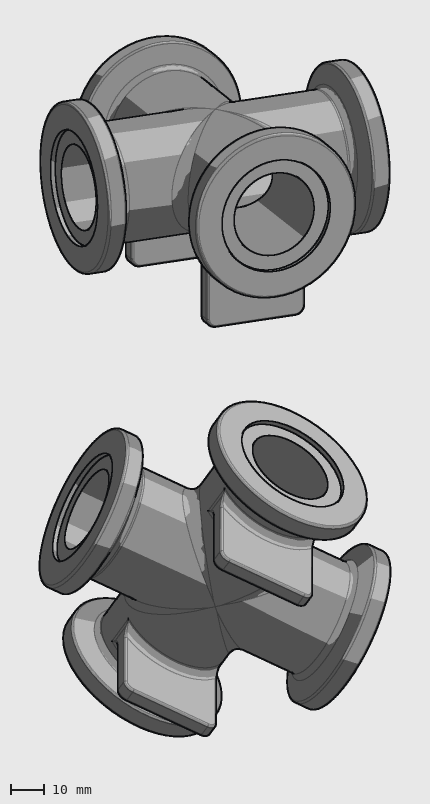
import cadquery as cq
import math

span = 91.19
flange_dia = 51.82
tube_dia = 36.58
bore_dia = 25.91
recess_dia = 35.05
recess_depth = 1.52
rim_thickness = 5.73
cone_angle = 20.0
edge_radius = 0.76
neck_radius = 2.03
crotch_radius = 3.86
crotch_sink = 0.004

foot_bottom = -38.61
foot_center_x = 28.2
foot_thickness = 4.78
foot_width = 31.75
foot_corner_radius = 3.05
foot_root_radius = 2.54

half_span = span / 2
flange_radius = flange_dia / 2
tube_radius = tube_dia / 2
cone_length = (flange_radius - tube_radius) * math.tan(math.radians(cone_angle))
rim_back = half_span - rim_thickness
cone_end = rim_back - cone_length
flange_root = cone_end - neck_radius
arm_angles = (0, 90, 180, 270)


def around_axis(part, shape):
    """Add a shape to the part at all four arm positions about Z."""
    for angle in arm_angles:
        part = part.union(shape.rotate((0, 0, 0), (0, 0, 1), angle))
    return part


def circles_between(x_min, x_max):
    """Selector for edges lying wholly within a range of X."""
    return cq.selectors.BoxSelector(
        (x_min, -span, -span), (x_max, span, span), boundingbox=True
    )


def make_flange():
    """Solid flange at the +X end, with a tapered back and rounded edges."""
    profile = (
        cq.Workplane("XY")
        .moveTo(flange_root, 0)
        .lineTo(flange_root, tube_radius)
        .lineTo(cone_end, tube_radius)
        .lineTo(rim_back, flange_radius)
        .lineTo(half_span, flange_radius)
        .lineTo(half_span, 0)
        .close()
    )
    flange = profile.revolve(360, (0, 0, 0), (1, 0, 0))
    neck = circles_between(cone_end - edge_radius, cone_end + edge_radius)
    flange = flange.edges("%CIRCLE").edges(neck).fillet(neck_radius)
    rim = circles_between(rim_back - edge_radius, half_span + edge_radius)
    return flange.edges("%CIRCLE").edges(rim).fillet(edge_radius)


def make_crotch_blend():
    """Rolling-ball blend in the corner between the +X and +Y tubes.

    The ball centre follows an ellipse in the plane x = y. It touches each tube
    along a curve that looks straight from above, so a wedge bounds the blend.
    """
    reach = tube_radius + crotch_radius
    ellipse_long = reach * math.sqrt(2)
    corner_plane = cq.Plane(origin=(0, 0, 0), xDir=(1, 1, 0), normal=(1, -1, 0))
    ball_path = cq.Workplane(corner_plane).ellipse(ellipse_long, reach)
    ball_start = cq.Plane(origin=(reach, reach, 0), xDir=(1, 1, 0), normal=(0, 0, 1))
    ball_radius = crotch_radius + crotch_sink
    ball_sweep = cq.Workplane(ball_start).circle(ball_radius).sweep(ball_path)
    inside_path = cq.Workplane(corner_plane).ellipse(ellipse_long, reach).extrude(span, both=True)
    wedge = (
        cq.Workplane("XY")
        .polyline([(0, 0), (reach, tube_radius), (tube_radius, reach)])
        .close()
        .extrude(reach, both=True)
    )
    return wedge.intersect(inside_path).cut(ball_sweep)


def make_foot():
    """Upright plate below the +X arm with rounded bottom corners."""
    foot = (
        cq.Workplane("YZ", origin=(foot_center_x - foot_thickness / 2, 0, 0))
        .moveTo(0, foot_bottom / 2)
        .rect(foot_width, -foot_bottom)
        .extrude(foot_thickness)
    )
    return foot.edges("|X and <Z").fillet(foot_corner_radius)


def make_footed_tube():
    """Half tube along +X with a foot blended into its underside."""
    tube = cq.Workplane("YZ").circle(tube_radius).extrude(flange_root).union(make_foot())
    foot_side_x = foot_center_x - foot_thickness
    root_zone = cq.selectors.BoxSelector(
        (foot_side_x, -foot_width, -tube_radius - edge_radius),
        (flange_root - edge_radius, foot_width, -edge_radius),
        boundingbox=True,
    )
    tube = tube.edges(root_zone).fillet(foot_root_radius)
    outline_zone = cq.selectors.BoxSelector(
        (foot_side_x, -foot_width, foot_bottom - edge_radius),
        (flange_root, foot_width, -tube_radius - foot_root_radius),
    )
    return tube.edges("not |X").edges(outline_zone).fillet(edge_radius)


def cut_bores(part):
    """Through bores along X and Y, with a recess in every flange face."""
    for plane in ("YZ", "XZ"):
        part = part.cut(cq.Workplane(plane).circle(bore_dia / 2).extrude(span, both=True))
    recess = (
        cq.Workplane("YZ", origin=(half_span - recess_depth, 0, 0))
        .circle(recess_dia / 2)
        .extrude(2 * recess_depth)
    )
    for angle in arm_angles:
        part = part.cut(recess.rotate((0, 0, 0), (0, 0, 1), angle))
    return part


cross_tube = cq.Workplane("XZ").circle(tube_radius).extrude(flange_root, both=True)
footed_tube = make_footed_tube()
body = cross_tube.union(footed_tube).union(footed_tube.mirror("YZ"))
body = around_axis(body, make_crotch_blend())
body = around_axis(body, make_flange())
result = cut_bores(body)